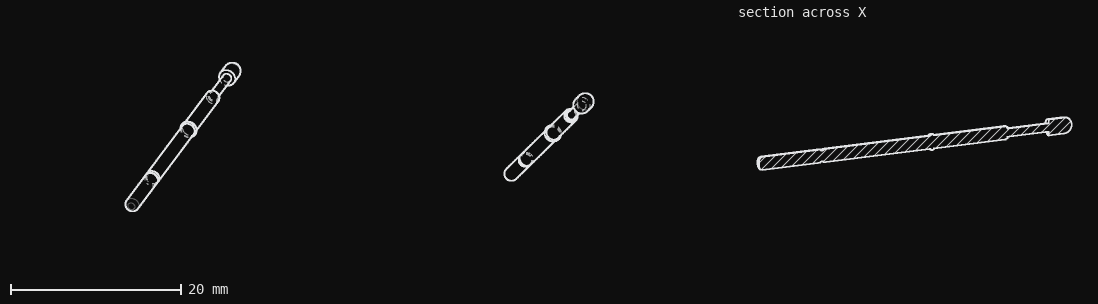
import cadquery as cq
import math


total_length = 40.3
head_radius = 1.0
head_length = 3.0

stem_radius = 0.53

barrel_length = 32.0
barrel_radius = 0.83
tail_rounding = 0.4
mouth_taper_length = 0.25
mouth_taper_depth = 0.15

ring_y = 22.3
ring_bead_radius = 0.25

groove_y = 8.1
groove_width = 0.5
groove_depth = 0.15

head_base_y = total_length - head_length
dome_base_y = total_length - head_radius
diagonal = math.sqrt(0.5)


def quarter_point(center_radius, center_y, radius, y_direction):
    """Midpoint of an outward quarter arc rising toward the given Y direction."""
    offset = radius * diagonal
    return (center_radius + offset, center_y + y_direction * offset)


def make_barrel():
    """Barrel with a rounded tail, a crimp groove and a tapered mouth."""
    tail_center_radius = barrel_radius - tail_rounding
    return (
        cq.Workplane("XY")
        .lineTo(tail_center_radius, 0)
        .threePointArc(
            quarter_point(tail_center_radius, tail_rounding, tail_rounding, -1),
            (barrel_radius, tail_rounding),
        )
        .lineTo(barrel_radius, groove_y - groove_width / 2)
        .threePointArc(
            (barrel_radius - groove_depth, groove_y),
            (barrel_radius, groove_y + groove_width / 2),
        )
        .lineTo(barrel_radius, barrel_length - mouth_taper_length)
        .lineTo(barrel_radius - mouth_taper_depth, barrel_length)
        .lineTo(0, barrel_length)
        .close()
        .revolve(360, (0, 0), (0, 1))
    )


def make_press_ring():
    """Round-nosed ring whose crest is level with the head."""
    bead_center_radius = head_radius - ring_bead_radius
    return (
        cq.Workplane("XY")
        .moveTo(0, ring_y - ring_bead_radius)
        .lineTo(bead_center_radius, ring_y - ring_bead_radius)
        .threePointArc(
            (head_radius, ring_y),
            (bead_center_radius, ring_y + ring_bead_radius),
        )
        .lineTo(0, ring_y + ring_bead_radius)
        .close()
        .revolve(360, (0, 0), (0, 1))
    )


def make_plunger():
    """Stem leaving the barrel mouth and carrying the hemispherical head."""
    return (
        cq.Workplane("XY")
        .moveTo(0, barrel_length)
        .lineTo(stem_radius, barrel_length)
        .lineTo(stem_radius, head_base_y)
        .lineTo(head_radius, head_base_y)
        .lineTo(head_radius, dome_base_y)
        .threePointArc(
            quarter_point(0, dome_base_y, head_radius, 1),
            (0, total_length),
        )
        .close()
        .revolve(360, (0, 0), (0, 1))
    )


result = make_barrel().union(make_press_ring()).union(make_plunger())